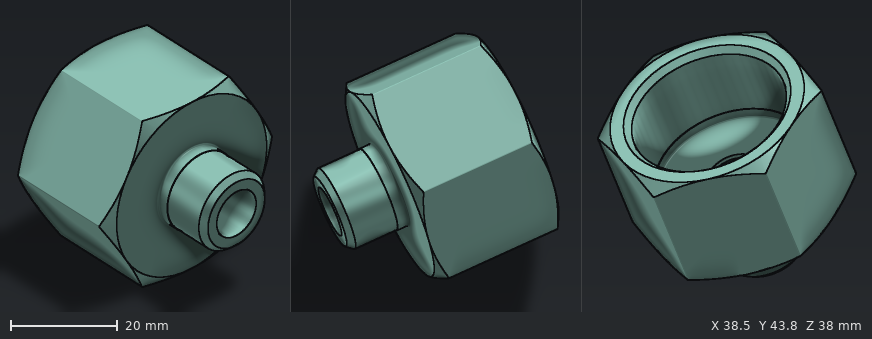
import cadquery as cq
import math

across_flats = 38.0
across_corners = 43.8
body_length = 26.0
body_chamfer_angle = 30.0

total_length = 38.5
spigot_diameter = 16.7
neck_diameter = 16.85
neck_length = 2.45
root_fillet = 0.5
tip_chamfer_length = 1.3
tip_chamfer_depth = 1.15

bore_diameter = 30.3
relief_diameter = 30.45
mouth_diameter = 32.75
mouth_chamfer_length = 1.23
socket_depth = 18.25
relief_length = 2.05
floor_fillet = 0.5

passage_diameter = 10.0
passage_chamfer = 0.5


def revolve_about_x(points):
    """Solid of revolution about X from (x, radius) points."""
    return cq.Workplane("XY").polyline(points).close().revolve(360, (0, 0, 0), (1, 0, 0))


def arc_middle_offset(radius):
    """Distance along each axis from a quarter fillet's tangent sides to its midpoint."""
    return radius * (1 - math.cos(math.pi / 4))


def make_body():
    """Hexagonal prism with flats facing up and down, rounded long edges and coned ends."""
    flat_radius = across_flats / 2
    corner_ratio = 1 / math.cos(math.pi / 6)
    sharp_radius = flat_radius * corner_ratio
    tip_setback = sharp_radius - across_corners / 2
    edge_radius = tip_setback / (corner_ratio - 1)
    hexagon = (
        cq.Workplane("YZ")
        .polygon(6, 2 * sharp_radius)
        .extrude(body_length)
        .edges("|X")
        .fillet(edge_radius)
    )
    chamfer_length = (sharp_radius - flat_radius) * math.tan(math.radians(body_chamfer_angle))
    envelope = revolve_about_x([
        (0, 0),
        (0, flat_radius),
        (chamfer_length, sharp_radius),
        (body_length - chamfer_length, sharp_radius),
        (body_length, flat_radius),
        (body_length, 0),
    ])
    return hexagon.intersect(envelope)


def make_spigot():
    """Stepped spigot with a filleted root and a tapered tip."""
    neck_radius = neck_diameter / 2
    spigot_radius = spigot_diameter / 2
    neck_end = body_length + neck_length
    fillet_middle = arc_middle_offset(root_fillet)
    return (
        cq.Workplane("XY")
        .moveTo(body_length, 0)
        .lineTo(body_length, neck_radius + root_fillet)
        .threePointArc(
            (body_length + fillet_middle, neck_radius + fillet_middle),
            (body_length + root_fillet, neck_radius),
        )
        .lineTo(neck_end, neck_radius)
        .lineTo(neck_end, spigot_radius)
        .lineTo(total_length - tip_chamfer_length, spigot_radius)
        .lineTo(total_length, spigot_radius - tip_chamfer_depth)
        .lineTo(total_length, 0)
        .close()
        .revolve(360, (0, 0, 0), (1, 0, 0))
    )


def make_socket():
    """Bore with a tapered mouth, a relief at the bottom and a rounded floor edge."""
    bore_radius = bore_diameter / 2
    relief_radius = relief_diameter / 2
    relief_start = socket_depth - relief_length
    fillet_middle = arc_middle_offset(floor_fillet)
    return (
        cq.Workplane("XY")
        .lineTo(0, mouth_diameter / 2)
        .lineTo(mouth_chamfer_length, bore_radius)
        .lineTo(relief_start, bore_radius)
        .lineTo(relief_start, relief_radius)
        .lineTo(socket_depth - floor_fillet, relief_radius)
        .threePointArc(
            (socket_depth - fillet_middle, relief_radius - fillet_middle),
            (socket_depth, relief_radius - floor_fillet),
        )
        .lineTo(socket_depth, 0)
        .close()
        .revolve(360, (0, 0, 0), (1, 0, 0))
    )


def make_passage():
    """Hole from the socket floor through the spigot, chamfered at the floor."""
    passage_radius = passage_diameter / 2
    return revolve_about_x([
        (socket_depth, 0),
        (socket_depth, passage_radius + passage_chamfer),
        (socket_depth + passage_chamfer, passage_radius),
        (total_length, passage_radius),
        (total_length, 0),
    ])


result = make_body().union(make_spigot()).cut(make_socket()).cut(make_passage())